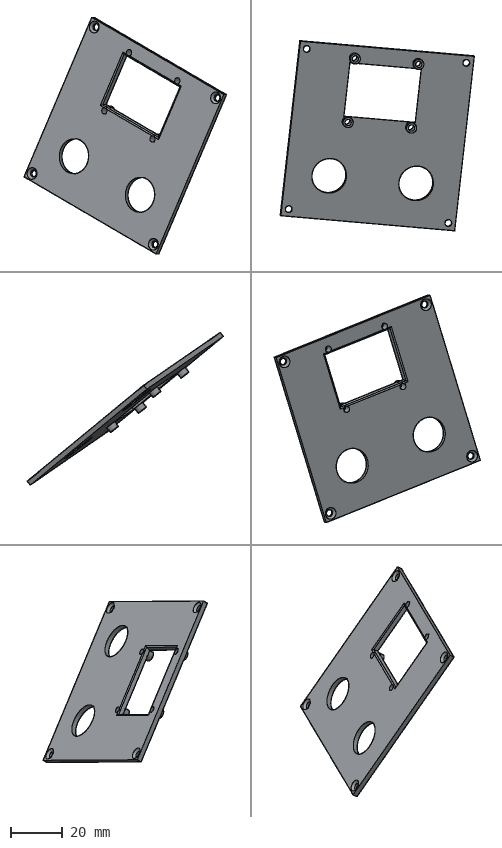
import cadquery as cq

PLATE_WIDTH = 68.5
PLATE_HEIGHT = 68.6
PLATE_THICKNESS = 2.0
TILT_ANGLE = 55.0

SCREW_EDGE_DISTANCE = 2.8
SCREW_DIAMETER = 2.6
COUNTERSINK_DIAMETER = 4.5
COUNTERSINK_ANGLE = 90.0

ROUND_OPENING_DIAMETER = 13.5
ROUND_OPENING_SPACING = 34.25
ROUND_OPENING_Y = -17.1

WINDOW_Y = 17.1
WINDOW_WIDTH = 30.2
WINDOW_HEIGHT = 22.95
BEVEL_WIDTH = 0.6
BEVEL_DEPTH = 0.35
SIDE_WALL_TAPER = 0.5
END_WALL_TAPER = 0.4

BOSS_SPACING = 25.0
BOSS_DIAMETER = 4.0
BOSS_LENGTH = 2.3
BOSS_HOLE_DIAMETER = 2.4


def window_taper(front_size, back_size, front_depth, back_depth):
    """Rectangular taper between two depths below the front face."""
    return (
        cq.Workplane("XY", origin=(0, WINDOW_Y, PLATE_THICKNESS - back_depth))
        .rect(*back_size)
        .workplane(offset=back_depth - front_depth)
        .rect(*front_size)
        .loft(ruled=True)
    )


def boss_centres():
    """The four boss centres, on the plane of the boss ends."""
    return (
        cq.Workplane("XY", origin=(0, WINDOW_Y, -BOSS_LENGTH))
        .rarray(BOSS_SPACING, BOSS_SPACING, 2, 2)
    )


plate = cq.Workplane("XY").box(
    PLATE_WIDTH, PLATE_HEIGHT, PLATE_THICKNESS, centered=(True, True, False)
)

rim_size = (WINDOW_WIDTH, WINDOW_HEIGHT)
throat_size = (WINDOW_WIDTH - 2 * BEVEL_WIDTH, WINDOW_HEIGHT - 2 * BEVEL_WIDTH)
back_size = (throat_size[0] - 2 * SIDE_WALL_TAPER, throat_size[1] - 2 * END_WALL_TAPER)
bevel = window_taper(rim_size, throat_size, 0, BEVEL_DEPTH)
walls = window_taper(throat_size, back_size, BEVEL_DEPTH, PLATE_THICKNESS)
plate = plate.cut(bevel).cut(walls)

bosses = (
    boss_centres()
    .circle(BOSS_DIAMETER / 2)
    .extrude(BOSS_LENGTH)
)
boss_holes = (
    boss_centres()
    .circle(BOSS_HOLE_DIAMETER / 2)
    .extrude(BOSS_LENGTH + PLATE_THICKNESS)
)
plate = plate.union(bosses).cut(boss_holes)

round_openings = (
    cq.Workplane("XY", origin=(0, ROUND_OPENING_Y, 0))
    .rarray(ROUND_OPENING_SPACING, 0.7, 2, 1)
    .circle(ROUND_OPENING_DIAMETER / 2)
    .extrude(PLATE_THICKNESS)
)
plate = plate.cut(round_openings)

plate = (
    plate.faces(">Z")
    .workplane(origin=(0, 0, PLATE_THICKNESS))
    .rarray(PLATE_WIDTH - 2 * SCREW_EDGE_DISTANCE, PLATE_HEIGHT - 2 * SCREW_EDGE_DISTANCE, 2, 2)
    .cskHole(SCREW_DIAMETER, COUNTERSINK_DIAMETER, COUNTERSINK_ANGLE)
)

result = plate.rotate((0, 0, 0), (1, 0, 0), TILT_ANGLE)